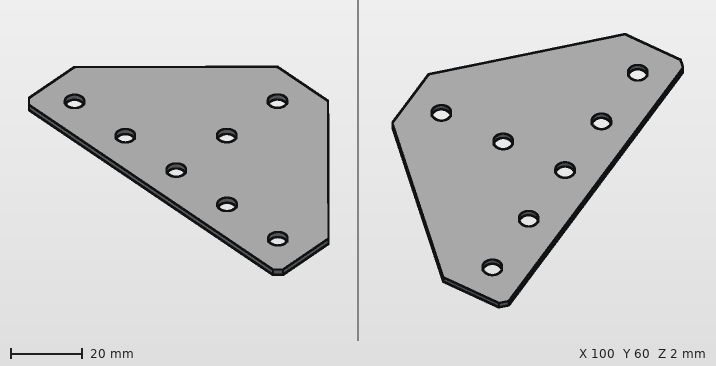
import cadquery as cq

pitch = 20.0
thickness = 2.0
hole_diameter = 5.5
corner_chamfer = 2.0
holes_across = 5
holes_up = 3

half_length = holes_across * pitch / 2
half_width = holes_up * pitch / 2
half_arm = pitch / 2
row_y = -half_width + half_arm


def plate():
    """Flat T-plate with sloped shoulders joining its arms."""
    outline = [
        (-half_length + corner_chamfer, -half_width),
        (half_length - corner_chamfer, -half_width),
        (half_length, -half_width + corner_chamfer),
        (half_length, -half_width + pitch),
        (half_arm, half_width),
        (-half_arm, half_width),
        (-half_length, -half_width + pitch),
        (-half_length, -half_width + corner_chamfer),
    ]
    return cq.Workplane("XY").polyline(outline).close().extrude(thickness)


def hole_centres():
    """Row along the long edge, plus a column rising from its middle hole."""
    first_x = -half_length + half_arm
    row = [(first_x + i * pitch, row_y) for i in range(holes_across)]
    column = [(0, row_y + i * pitch) for i in range(1, holes_up)]
    return row + column


def hole_cutters():
    """Cylinders for the through holes."""
    return cq.Workplane("XY").pushPoints(hole_centres()).circle(hole_diameter / 2).extrude(thickness)


result = plate().cut(hole_cutters())